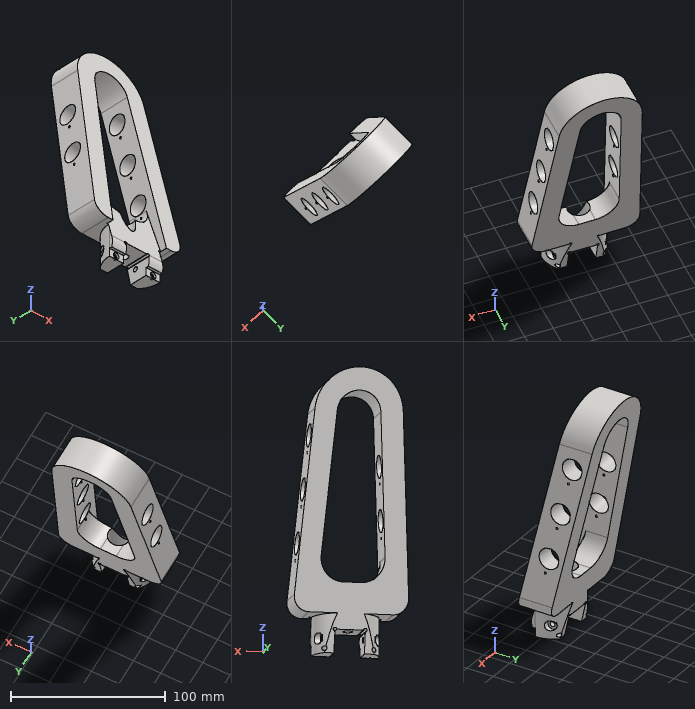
import cadquery as cq
import math

HEIGHT = 181.3
FRAME_WIDTH = 75.5
FRAME_BOTTOM = 25.4
SLAB_DEPTH = 25.2
SLAB_LEAN = 12.0
TOP_RADIUS = 29.2
CORNER_RADIUS = 10.0
LEG_THICKNESS = 14.9

WEB_TOP = 45.1
WEB_TOP_HALF_WIDTH = 5.8
WEB_FOOT_Y = 2.5
WEB_FACE_LEAN = 16.5

CLEVIS_HALF_WIDTH = 22.3
CLEVIS_FRONT_Y = 4.7
GAP_HALF_WIDTH = 10.0
GAP_TOP = 15.0
RELIEF_RADIUS = 1.0
NOSE_Y = 1.8
NOSE_BOTTOM = 6.2
NOSE_MIDDLE_Z = 10.0
NOSE_SETBACK = 0.7

BOLT_Y = 14.9
BOLT_RADIUS = 3.0
BOLT_HEAD_RADIUS = 7.5
BOLT_SEAT_Z = 21.8
BOLT_HEAD_HEIGHT = 27.2

PIVOT_Y = 14.9
PIVOT_Z = 10.0
PIVOT_RADIUS = 1.8
PIVOT_HEAD_RADIUS = 3.6
PIVOT_SEAT_X = 17.2
SCREW_X = 16.3
SCREW_Z = 2.9
SCREW_RADIUS = 1.5
SCREW_HEAD_RADIUS = 2.4
SCREW_SEAT_DEPTH = 1.8

LEG_HOLE_RADIUS = 7.5
LEG_HOLE_PITCH = 34.3
MIDDLE_HOLE_Z = 103.9
LEG_HOLE_BACK_OFFSET = 1.5
PIN_RADIUS = 0.7
PIN_DROP = 10.9

REACH = 108.8

slab_slope = math.tan(math.radians(SLAB_LEAN))
web_slope = math.tan(math.radians(WEB_FACE_LEAN))
arch_z = HEIGHT - TOP_RADIUS
corner_x = FRAME_WIDTH / 2 - CORNER_RADIUS
corner_z = FRAME_BOTTOM + CORNER_RADIUS

splay = math.asin((TOP_RADIUS - CORNER_RADIUS) / math.hypot(corner_x, arch_z - corner_z))
splay = math.atan2(corner_x, arch_z - corner_z) - splay
COS = math.cos(splay)
SIN = math.sin(splay)


def slab_front(z):
    return slab_slope * (z - FRAME_BOTTOM)


def web_front(z):
    return WEB_FOOT_Y + web_slope * (z - GAP_TOP)


def leg_x(z, arch_radius):
    """Distance from the middle to the leg line tangent to an arch of this radius."""
    return (arch_radius + (arch_z - z) * SIN) / COS


def along_y(sketch):
    """Prism through the whole depth from an outline drawn on XZ."""
    return sketch.extrude(REACH, both=True)


def cylinder(radius, start, direction, length):
    return cq.Workplane(cq.Solid.makeCylinder(radius, length, cq.Vector(*start), cq.Vector(*direction)))


def frame_outline():
    arch_end = (TOP_RADIUS * COS, arch_z + TOP_RADIUS * SIN)
    corner_start = (corner_x + CORNER_RADIUS * COS, corner_z + CORNER_RADIUS * SIN)
    middle = (splay - math.pi / 2) / 2
    corner_middle = (
        corner_x + CORNER_RADIUS * math.cos(middle),
        corner_z + CORNER_RADIUS * math.sin(middle),
    )
    return (
        cq.Workplane("XZ")
        .moveTo(-arch_end[0], arch_end[1])
        .threePointArc((0, HEIGHT), arch_end)
        .lineTo(*corner_start)
        .threePointArc(corner_middle, (corner_x, FRAME_BOTTOM))
        .lineTo(-corner_x, FRAME_BOTTOM)
        .threePointArc((-corner_middle[0], corner_middle[1]), (-corner_start[0], corner_start[1]))
        .close()
    )


inner_radius = TOP_RADIUS - LEG_THICKNESS


def inner_outline(bottom_z):
    """Space between the legs, from the arch down to a straight lower edge."""
    arch_end = (inner_radius * COS, arch_z + inner_radius * SIN)
    bottom_x = leg_x(bottom_z, inner_radius)
    return (
        cq.Workplane("XZ")
        .moveTo(-arch_end[0], arch_end[1])
        .threePointArc((0, arch_z + inner_radius), arch_end)
        .lineTo(bottom_x, bottom_z)
        .lineTo(-bottom_x, bottom_z)
        .close()
    )


def make_frame():
    slab = (
        cq.Workplane("YZ")
        .moveTo(slab_front(0), 0)
        .lineTo(slab_front(HEIGHT), HEIGHT)
        .lineTo(slab_front(HEIGHT) + SLAB_DEPTH, HEIGHT)
        .lineTo(slab_front(0) + SLAB_DEPTH, 0)
        .close()
        .extrude(REACH, both=True)
    )
    web_round = inner_radius - WEB_TOP_HALF_WIDTH * COS + (arch_z - WEB_TOP) * SIN
    web_round /= 1 + SIN
    opening = along_y(inner_outline(WEB_TOP)).edges("|Y and <Z").fillet(web_round)
    before_web = (
        cq.Workplane("YZ")
        .moveTo(web_front(0), 0)
        .lineTo(web_front(HEIGHT), HEIGHT)
        .lineTo(-REACH, HEIGHT)
        .lineTo(-REACH, 0)
        .close()
        .extrude(REACH, both=True)
    )
    channel = along_y(inner_outline(FRAME_BOTTOM)).intersect(before_web)
    return along_y(frame_outline()).intersect(slab).cut(opening).cut(channel)


def make_clevis():
    profile = (
        cq.Workplane("YZ")
        .moveTo(CLEVIS_FRONT_Y, 0)
        .lineTo(CLEVIS_FRONT_Y, NOSE_BOTTOM)
        .lineTo(NOSE_Y + NOSE_SETBACK, NOSE_BOTTOM)
        .threePointArc((NOSE_Y, NOSE_MIDDLE_Z), (WEB_FOOT_Y, GAP_TOP))
        .lineTo(web_front(FRAME_BOTTOM), FRAME_BOTTOM)
        .lineTo(SLAB_DEPTH, FRAME_BOTTOM)
        .lineTo(slab_front(0) + SLAB_DEPTH, 0)
        .close()
        .extrude(CLEVIS_HALF_WIDTH, both=True)
    )
    plan = (
        cq.Workplane("XY")
        .moveTo(-CLEVIS_HALF_WIDTH, 0)
        .lineTo(CLEVIS_HALF_WIDTH, 0)
        .lineTo(CLEVIS_HALF_WIDTH, CLEVIS_FRONT_Y)
        .threePointArc((0, CLEVIS_FRONT_Y + CLEVIS_HALF_WIDTH), (-CLEVIS_HALF_WIDTH, CLEVIS_FRONT_Y))
        .close()
        .extrude(FRAME_BOTTOM)
    )
    gap = cq.Workplane("XY").box(2 * GAP_HALF_WIDTH, REACH, 2 * GAP_TOP)
    reliefs = along_y(
        cq.Workplane("XZ")
        .pushPoints([(-GAP_HALF_WIDTH, GAP_TOP), (GAP_HALF_WIDTH, GAP_TOP)])
        .circle(RELIEF_RADIUS)
    )
    return profile.intersect(plan).cut(gap).cut(reliefs)


def bolt_hole():
    head = cylinder(BOLT_HEAD_RADIUS, (0, BOLT_Y, BOLT_SEAT_Z), (0, 0, 1), BOLT_HEAD_HEIGHT)
    return head.union(cylinder(BOLT_RADIUS, (0, BOLT_Y, 0), (0, 0, 1), WEB_TOP))


def clevis_holes(side):
    """Pivot and screw holes of one clevis arm; side is -1 or 1."""
    pivot = cylinder(PIVOT_RADIUS, (0, PIVOT_Y, PIVOT_Z), (side, 0, 0), REACH)
    pivot_head = cylinder(PIVOT_HEAD_RADIUS, (side * PIVOT_SEAT_X, PIVOT_Y, PIVOT_Z), (side, 0, 0), REACH)
    screw = cylinder(SCREW_RADIUS, (side * SCREW_X, 0, SCREW_Z), (0, 1, 0), REACH)
    seat_y = CLEVIS_FRONT_Y + SCREW_SEAT_DEPTH
    screw_head = cylinder(SCREW_HEAD_RADIUS, (side * SCREW_X, seat_y, SCREW_Z), (0, -1, 0), seat_y)
    return pivot.union(pivot_head).union(screw).union(screw_head)


def leg_hole(side, z, radius):
    """Hole square to the side of a leg, centred at height z on the leg centreline."""
    half_length = LEG_THICKNESS
    x = leg_x(z, TOP_RADIUS - LEG_THICKNESS / 2)
    y = slab_front(z) + SLAB_DEPTH / 2 + LEG_HOLE_BACK_OFFSET
    start = (side * (x - half_length * COS), y, z - half_length * SIN)
    return cylinder(radius, start, (side * COS, 0, SIN), 2 * half_length)


result = make_frame().union(make_clevis()).cut(bolt_hole())
for side in (-1, 1):
    result = result.cut(clevis_holes(side))

for side, steps in ((-1, (-0.5, 0.5)), (1, (-1, 0, 1))):
    for step in steps:
        hole_z = MIDDLE_HOLE_Z + step * LEG_HOLE_PITCH
        result = result.cut(leg_hole(side, hole_z, LEG_HOLE_RADIUS))
        result = result.cut(leg_hole(side, hole_z - PIN_DROP, PIN_RADIUS))